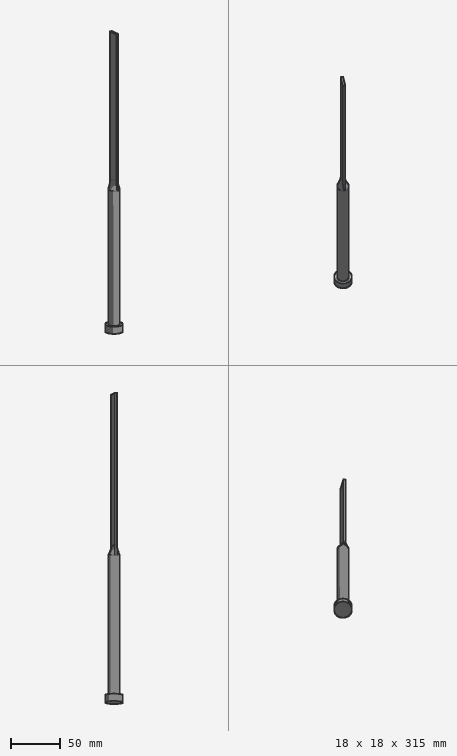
import cadquery as cq

total_length = 315.0
head_diameter = 18.0
head_height = 7.5
shaft_diameter = 12.0
shaft_top = 150.0
transition_height = 10.0
blade_width = shaft_diameter
blade_thickness = 2.5

blade_length = total_length - shaft_top


def make_head():
    """Round locating head at the base of the pin."""
    return cq.Workplane("XY").circle(head_diameter / 2).extrude(head_height)


def make_shaft():
    """Cylindrical shank running from the base to the transition."""
    return cq.Workplane("XY").circle(shaft_diameter / 2).extrude(shaft_top)


def make_transition():
    """Blend from the round shank to the rectangular blade section."""
    return (
        cq.Workplane("XY")
        .workplane(offset=shaft_top)
        .circle(shaft_diameter / 2)
        .workplane(offset=transition_height)
        .rect(blade_width, blade_thickness)
        .loft(ruled=True, combine=True)
    )


def make_blade():
    """Flat blade of constant section, standing on the end of the shank."""
    return (
        cq.Workplane("XY")
        .workplane(offset=shaft_top)
        .rect(blade_width, blade_thickness)
        .extrude(blade_length)
    )


result = make_head().union(make_shaft()).union(make_transition()).union(make_blade())